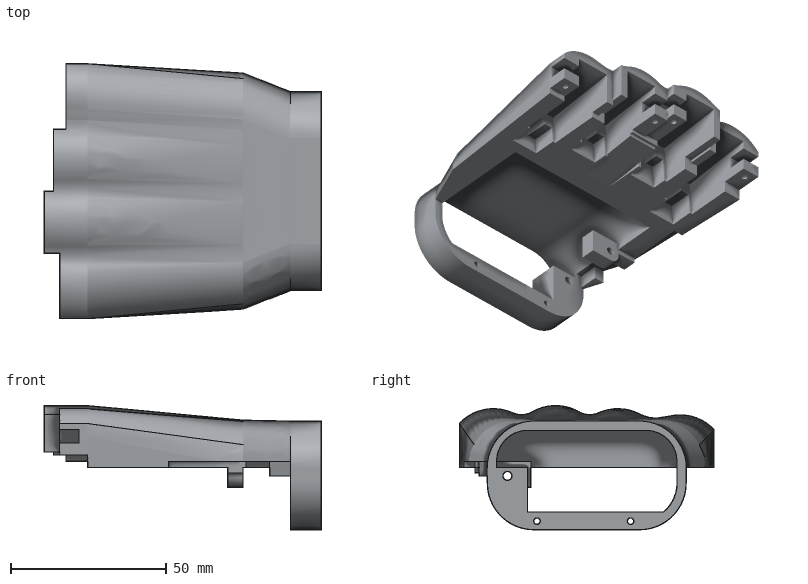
import math

import cadquery as cq

BODY_START = 14.0
BODY_END = 64.0
RING_START = 79.2
RING_END = 89.2
BODY_WIDTH = 82.0
WALL = 3.0
OVERLAP = 1.0
BELOW = -1.0

KNUCKLE_RADIUS = 15.0
VALLEY_RADIUS = 7.0
FINGER_PITCH = 20.0
OUTER_CHANNEL = dict(slope=5.0, depth=26.0, bay_depth=8.0, bore=4.0)
INNER_CHANNEL = dict(slope=4.2, depth=24.0, bay_depth=5.0, bore=4.2)
FINGERS = [
    dict(y=-30.0, base=4.0, front=5.0, channel_y=-28.6, **OUTER_CHANNEL),
    dict(y=-10.0, base=5.0, front=0.0, channel_y=-11.4, **INNER_CHANNEL),
    dict(y=10.0, base=4.0, front=3.0, channel_y=11.4, **INNER_CHANNEL),
    dict(y=30.0, base=2.0, front=7.0, channel_y=28.6, **OUTER_CHANNEL),
]
WIDE_VALLEY_START_Y = 17.0
WIDE_VALLEY_LOW = (22.8, 16.0)
WIDE_VALLEY_END_Y = 26.3

CHANNEL_WIDTH = 12.0
CHANNEL_ROOF = 11.2
BAY_WIDTH = 10.0
BAY_ROOF = 4.0

TAB_THICKNESS = 4.0
TAB_LENGTH = 6.3
NOTCH_HEIGHT = 4.3
TAB_HOLE_DIAMETER = 2.0

SIDE_EDGE_Z = 10.0
ARCH_RADIUS = 15.0
BODY_ARCH_FLAT = 23.0
BODY_ARCH_CROWN = 15.3
RING_FLAT = 17.0
RING_CROWN = 15.0
SHOULDER_Z = 7.4
CAVITY_START = 44.0
CAVITY_CORNER_RADIUS = 10.0

RELIEF_Z = 2.0
RELIEF_END = 37.0
RELIEF_STEP_Z = 3.0
RELIEF_STEP_LENGTH = 1.0

EDGE_CUT_START = 40.0
EDGE_CUT_Z = 2.0
RAIL_END = 65.0

RING_BOTTOM = -20.0
WINDOW_FLOOR = -14.2
GUSSET_Y = -19.0
RING_HOLE_DIAMETER = 2.0
RING_HOLE_YS = (-16.0, 14.1)
RING_HOLE_Z = -17.2

LUG_START = 59.0
LUG_INNER_Y = -18.0
LUG_CORNER_Y = -29.0
LUG_OUTER_Y = -36.0
LUG_BOTTOM = -6.3
LUG_LEDGE_Z = -1.7
LUG_CORNER_RADIUS = 3.5
PIVOT_Y = -25.5
PIVOT_Z = -2.65
PIVOT_DIAMETER = 2.8
NECK_TAB_START = 72.5
NECK_TAB_INNER_Y = -31.0
NECK_TAB_BOTTOM = -2.7

HALF_WIDTH = BODY_WIDTH / 2
BODY_END_HALF = BODY_ARCH_FLAT + ARCH_RADIUS
RING_HALF = RING_FLAT + ARCH_RADIUS


def yz_plane(x):
    """Sketch plane across the part, with local axes along +Y and +Z."""
    return cq.Plane(origin=(x, 0, 0), xDir=(0, 1, 0), normal=(1, 0, 0))


def box(x_range, y_range, z_range):
    lengths = [high - low for low, high in (x_range, y_range, z_range)]
    corner = (x_range[0], y_range[0], z_range[0])
    return cq.Workplane("XY").box(*lengths, centered=False).translate(corner)


def side_prism(points, y_low, y_high):
    """Extrude an XZ outline between two Y positions."""
    return cq.Workplane("XZ", origin=(0, y_high, 0)).polyline(points).close().extrude(y_high - y_low)


def knuckle_z(finger, y):
    return finger["base"] + math.sqrt(KNUCKLE_RADIUS**2 - (y - finger["y"]) ** 2)


def knuckle_point(finger, y):
    return (y, knuckle_z(finger, y))


def valley(left, right):
    """Start, low and end points of the fillet tangent to two neighbouring knuckles."""
    reach = KNUCKLE_RADIUS + VALLEY_RADIUS
    dy = right["y"] - left["y"]
    dz = right["base"] - left["base"]
    half = math.hypot(dy, dz) / 2
    rise = math.sqrt(reach**2 - half**2)
    center_y = (left["y"] + right["y"]) / 2 - rise * dz / (2 * half)
    center_z = (left["base"] + right["base"]) / 2 + rise * dy / (2 * half)
    share = KNUCKLE_RADIUS / reach
    start_y = left["y"] + (center_y - left["y"]) * share
    end_y = right["y"] + (center_y - right["y"]) * share
    return knuckle_point(left, start_y), (center_y, center_z - VALLEY_RADIUS), knuckle_point(right, end_y)


VALLEYS = [valley(FINGERS[i], FINGERS[i + 1]) for i in range(2)]
KNUCKLE_BREAKS = [
    VALLEYS[0][0][0],
    VALLEYS[0][2][0],
    VALLEYS[1][0][0],
    VALLEYS[1][2][0],
    WIDE_VALLEY_START_Y,
    WIDE_VALLEY_LOW[0],
    WIDE_VALLEY_END_Y,
]


def knuckle_profile(x, bottom):
    """Closed section with the four knuckles on top."""
    little, middle, ring, index = FINGERS
    sketch = cq.Workplane(yz_plane(x)).moveTo(-HALF_WIDTH, bottom)
    sketch = sketch.lineTo(-HALF_WIDTH, knuckle_z(little, -HALF_WIDTH))
    sketch = sketch.threePointArc(knuckle_point(little, little["y"]), VALLEYS[0][0])
    sketch = sketch.threePointArc(*VALLEYS[0][1:])
    sketch = sketch.threePointArc(knuckle_point(middle, middle["y"]), VALLEYS[1][0])
    sketch = sketch.threePointArc(*VALLEYS[1][1:])
    sketch = sketch.threePointArc(knuckle_point(ring, ring["y"]), knuckle_point(ring, WIDE_VALLEY_START_Y))
    sketch = sketch.tangentArcPoint(WIDE_VALLEY_LOW, relative=False)
    sketch = sketch.lineTo(*knuckle_point(index, WIDE_VALLEY_END_Y))
    sketch = sketch.threePointArc(knuckle_point(index, index["y"]), knuckle_point(index, HALF_WIDTH))
    return sketch.lineTo(HALF_WIDTH, bottom).close()


def arch_point(side, half_flat, center_z, radius, angle):
    y = side * (half_flat + radius * math.cos(angle))
    return (y, center_z + radius * math.sin(angle))


def body_end_profile():
    """Arched section with one edge for each edge of the knuckle profile."""
    center_z = BODY_ARCH_CROWN - ARCH_RADIUS
    shoulder = math.asin((SHOULDER_Z - center_z) / ARCH_RADIUS)
    upper = (shoulder + math.pi / 2) / 2

    def point(side, angle):
        return arch_point(side, BODY_ARCH_FLAT, center_z, ARCH_RADIUS, angle)

    sketch = cq.Workplane(yz_plane(BODY_END)).moveTo(*point(-1, 0))
    sketch = sketch.threePointArc(point(-1, shoulder / 2), point(-1, shoulder))
    sketch = sketch.threePointArc(point(-1, upper), (-BODY_ARCH_FLAT, BODY_ARCH_CROWN))
    first, last = KNUCKLE_BREAKS[0], KNUCKLE_BREAKS[-1]
    for y in KNUCKLE_BREAKS[1:]:
        flat_y = BODY_ARCH_FLAT * (2 * (y - first) / (last - first) - 1)
        sketch = sketch.lineTo(flat_y, BODY_ARCH_CROWN)
    sketch = sketch.threePointArc(point(1, upper), point(1, shoulder))
    return sketch.threePointArc(point(1, shoulder / 2), point(1, 0)).close()


def arch_profile(x, half_flat, crown, radius, bottom):
    """Flat-topped arch with straight legs down to the bottom height."""
    center_z = crown - radius
    sketch = cq.Workplane(yz_plane(x)).moveTo(-half_flat - radius, bottom)
    sketch = sketch.lineTo(-half_flat - radius, center_z)
    sketch = sketch.threePointArc(
        arch_point(-1, half_flat, center_z, radius, math.pi / 4), (-half_flat, crown)
    )
    sketch = sketch.lineTo(half_flat, crown)
    sketch = sketch.threePointArc(
        arch_point(1, half_flat, center_z, radius, math.pi / 4), (half_flat + radius, center_z)
    )
    return sketch.lineTo(half_flat + radius, bottom).close()


def loft(*profiles):
    wires = [profile.val() for profile in profiles]
    return cq.Workplane(cq.Solid.makeLoft(wires, True))


def finger_fronts():
    """Knuckle blocks of different lengths in front of the palm."""
    top = max(finger["base"] for finger in FINGERS) + KNUCKLE_RADIUS
    fronts = None
    for finger in FINGERS:
        y_low = -HALF_WIDTH if finger is FINGERS[0] else finger["y"] - FINGER_PITCH / 2
        y_high = HALF_WIDTH if finger is FINGERS[-1] else finger["y"] + FINGER_PITCH / 2
        zone = box((finger["front"], BODY_START), (y_low, y_high), (finger["base"], top))
        block = knuckle_profile(0, 0).extrude(BODY_START).intersect(zone)
        fronts = block if fronts is None else fronts.union(block)
    return fronts


def palm():
    """Loft from the knuckles to the arch, with flat tapered side walls below it."""
    end_z = BODY_ARCH_CROWN - ARCH_RADIUS
    upper = loft(knuckle_profile(BODY_START, SIDE_EDGE_Z), body_end_profile())
    plan = [
        (BODY_START, -HALF_WIDTH),
        (BODY_END, -BODY_END_HALF),
        (BODY_END, BODY_END_HALF),
        (BODY_START, HALF_WIDTH),
    ]
    taper = cq.Workplane("XY").polyline(plan).close().extrude(SIDE_EDGE_Z)
    side = [(BODY_START, 0), (BODY_START, SIDE_EDGE_Z), (BODY_END, end_z), (BODY_END, 0)]
    lower = taper.intersect(side_prism(side, -HALF_WIDTH, HALF_WIDTH))
    return upper.union(lower)


def neck():
    """Narrowing arch between the palm and the wrist ring."""
    return loft(
        arch_profile(BODY_END, BODY_ARCH_FLAT, BODY_ARCH_CROWN, ARCH_RADIUS, BELOW),
        arch_profile(RING_START, RING_FLAT, RING_CROWN, ARCH_RADIUS, BELOW),
    ).intersect(box((BODY_END, RING_START), (-HALF_WIDTH, HALF_WIDTH), (0, BODY_ARCH_CROWN)))


def cavity():
    """Straight hollow through the palm, neck and ring, open towards the palm plane."""
    half_flat = RING_HALF - WALL - CAVITY_CORNER_RADIUS
    profile = arch_profile(CAVITY_START, half_flat, RING_CROWN - WALL, CAVITY_CORNER_RADIUS, 0)
    return profile.extrude(RING_END - CAVITY_START)


def rounded_bar(half_width, bottom, top, radius):
    """Bar along X over the ring length, rounded along its long edges."""
    bar = box((RING_START, RING_END), (-half_width, half_width), (bottom, top))
    return bar.edges("|X").fillet(radius)


def wrist_ring():
    """Rounded ring with a thick floor and a gusset on its -Y side."""
    outer = rounded_bar(RING_HALF, RING_BOTTOM, RING_CROWN, ARCH_RADIUS)
    opening = rounded_bar(RING_HALF - WALL, RING_BOTTOM + WALL, RING_CROWN - WALL, ARCH_RADIUS - WALL)
    length = (RING_START, RING_END)
    gusset = box(length, (-RING_HALF, GUSSET_Y), (RING_BOTTOM, 0))
    floor = box(length, (-RING_HALF, RING_HALF), (RING_BOTTOM, WINDOW_FLOOR))
    return outer.cut(opening.cut(gusset).cut(floor))


def channel(finger):
    """Sloping finger channel with a narrower bay and a blind tendon bore at its end."""
    slope = math.radians(finger["slope"])
    roof = finger["base"] + CHANNEL_ROOF
    start = finger["front"] - OVERLAP
    end_x = finger["front"] + finger["depth"] * math.cos(slope)
    end_roof = roof - finger["depth"] * math.sin(slope)
    bay_roof = finger["base"] + BAY_ROOF

    def wall_x(z):
        return end_x - (end_roof - z) * math.tan(slope)

    y = finger["channel_y"]
    outline = [
        (start, BELOW),
        (start, roof + OVERLAP * math.tan(slope)),
        (end_x, end_roof),
        (wall_x(BELOW), BELOW),
    ]
    main = side_prism(outline, y - CHANNEL_WIDTH / 2, y + CHANNEL_WIDTH / 2)
    bay_outline = [
        (start, BELOW),
        (start, bay_roof),
        (wall_x(bay_roof) + finger["bay_depth"], bay_roof),
        (wall_x(BELOW) + finger["bay_depth"], BELOW),
    ]
    bay = side_prism(bay_outline, y - BAY_WIDTH / 2, y + BAY_WIDTH / 2)
    bore = cq.Workplane(
        cq.Solid.makeCylinder(
            finger["bore"] / 2,
            finger["bay_depth"] * math.cos(slope),
            cq.Vector(wall_x(bay_roof), y, bay_roof),
            cq.Vector(math.cos(slope), 0, -math.sin(slope)),
        )
    )
    return main.union(bay).union(bore)


def tab_cuts(finger):
    """Notch above the screw tab and the vertical screw hole through the tab."""
    outer = abs(finger["y"]) > FINGER_PITCH
    side = math.copysign(1, finger["y"])
    if outer:
        y_edge = side * HALF_WIDTH
        y_channel = finger["channel_y"] + side * CHANNEL_WIDTH / 2
    else:
        y_edge = 0.0
        y_channel = finger["channel_y"] - side * CHANNEL_WIDTH / 2
    y_range = (min(y_edge, y_channel), max(y_edge, y_channel))
    front = finger["front"]
    tab_top = finger["base"] + TAB_THICKNESS
    notch = box((front, front + TAB_LENGTH), y_range, (tab_top, tab_top + NOTCH_HEIGHT))
    hole = (
        cq.Workplane("XY", origin=(front + TAB_LENGTH / 2, sum(y_range) / 2, BELOW))
        .circle(TAB_HOLE_DIAMETER / 2)
        .extrude(tab_top - BELOW)
    )
    return notch.union(hole)


def middle_relief():
    """Sloping recess under the palm between the two middle finger channels."""
    half = FINGERS[2]["channel_y"] - CHANNEL_WIDTH / 2
    step_end = BODY_START + RELIEF_STEP_LENGTH
    outline = [
        (BODY_START, BELOW),
        (BODY_START, RELIEF_STEP_Z),
        (step_end, RELIEF_STEP_Z),
        (step_end, RELIEF_Z),
        (RELIEF_END, 0),
        (RELIEF_END, BELOW),
    ]
    return side_prism(outline, -half, half)


def edge_cut():
    """Raises the lower edge of the -Y wall, leaving a rail that carries the pivot lug."""
    z_range = (BELOW, EDGE_CUT_Z)
    beside_rail = box((EDGE_CUT_START, RAIL_END), (-HALF_WIDTH, LUG_OUTER_Y), z_range)
    behind_rail = box((RAIL_END, RING_START), (-HALF_WIDTH, WALL - RING_HALF), z_range)
    return beside_rail.union(behind_rail)


def pivot_lug():
    """Lug with one rounded corner and a ledge reaching out to the rail."""
    sketch = cq.Workplane(yz_plane(LUG_START)).moveTo(LUG_INNER_Y, EDGE_CUT_Z)
    sketch = sketch.lineTo(LUG_INNER_Y, LUG_BOTTOM)
    sketch = sketch.lineTo(LUG_CORNER_Y + LUG_CORNER_RADIUS, LUG_BOTTOM)
    sketch = sketch.tangentArcPoint((LUG_CORNER_Y, LUG_BOTTOM + LUG_CORNER_RADIUS), relative=False)
    sketch = sketch.lineTo(LUG_CORNER_Y, LUG_LEDGE_Z).lineTo(LUG_OUTER_Y, LUG_LEDGE_Z)
    return sketch.lineTo(LUG_OUTER_Y, EDGE_CUT_Z).close().extrude(BODY_END - LUG_START)


def neck_tab():
    """Short tab under the -Y wall of the neck, flush with its tapered outside."""
    taper = (BODY_END_HALF - RING_HALF) / (RING_START - BODY_END)
    start_half = RING_HALF + taper * (RING_START - NECK_TAB_START)
    plan = [
        (NECK_TAB_START, NECK_TAB_INNER_Y),
        (NECK_TAB_START, -start_half),
        (RING_START, -RING_HALF),
        (RING_START, NECK_TAB_INNER_Y),
    ]
    tab = cq.Workplane("XY", origin=(0, 0, NECK_TAB_BOTTOM)).polyline(plan).close()
    return tab.extrude(EDGE_CUT_Z - NECK_TAB_BOTTOM)


def cross_hole(y, z, diameter, start):
    return cq.Workplane(yz_plane(start)).center(y, z).circle(diameter / 2).extrude(RING_END - start)


result = finger_fronts().union(palm()).union(neck()).union(wrist_ring()).cut(cavity())
for digit in FINGERS:
    result = result.cut(channel(digit)).cut(tab_cuts(digit))
result = result.cut(middle_relief()).cut(edge_cut())
result = result.union(neck_tab()).union(pivot_lug())
for hole_y in RING_HOLE_YS:
    result = result.cut(cross_hole(hole_y, RING_HOLE_Z, RING_HOLE_DIAMETER, RING_START))
result = result.cut(cross_hole(PIVOT_Y, PIVOT_Z, PIVOT_DIAMETER, LUG_START))